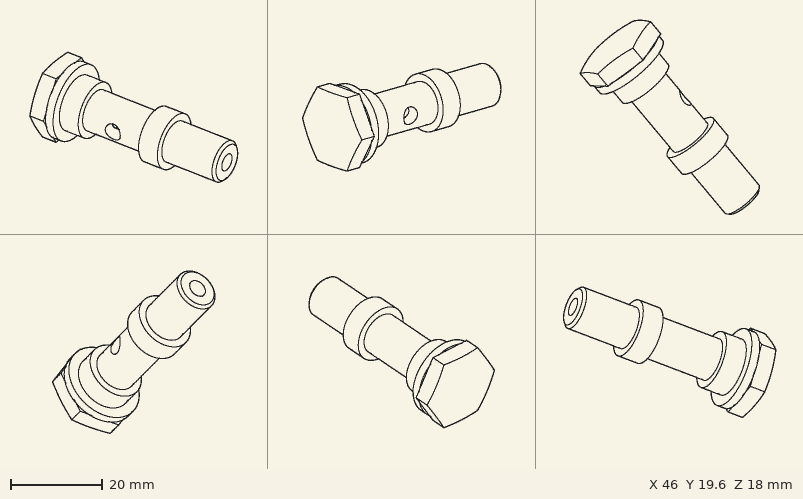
import cadquery as cq
import math

head_end = 4.0
flange_end = 6.0
head_collar_end = 11.0
ring_start = 27.0
ring_end = 32.0
length = 46.0

across_flats = 17.0
flange_dia = 18.0
collar_dia = 13.1
shaft_dia = 9.7

head_chamfer_angle = 15.0
tip_chamfer_length = 0.65
tip_chamfer_depth = 0.65

hole_dia = 4.0
hole_x = 19.0
bore_end = hole_x - hole_dia / 2


def cylinder(start, end, diameter):
    """Solid round section along X."""
    return cq.Workplane("YZ", origin=(start, 0, 0)).circle(diameter / 2).extrude(end - start)


def hex_head():
    """Hexagon with corners on Y, its outer corners trimmed by a shallow cone."""
    across_corners = across_flats / math.cos(math.radians(30))
    corner_radius = across_corners / 2
    face_radius = across_flats / 2
    chamfer_length = (corner_radius - face_radius) * math.tan(math.radians(head_chamfer_angle))
    prism = cq.Workplane("YZ").polygon(6, across_corners).extrude(head_end)
    envelope = (
        cq.Workplane("XY")
        .moveTo(0, 0)
        .lineTo(0, face_radius)
        .lineTo(chamfer_length, corner_radius)
        .lineTo(head_end, corner_radius)
        .lineTo(head_end, 0)
        .close()
        .revolve(360, (0, 0, 0), (1, 0, 0))
    )
    return prism.intersect(envelope)


def shaft():
    """Plain shaft with a chamfered free end."""
    radius = shaft_dia / 2
    return (
        cq.Workplane("XY")
        .moveTo(head_end, 0)
        .lineTo(head_end, radius)
        .lineTo(length - tip_chamfer_length, radius)
        .lineTo(length, radius - tip_chamfer_depth)
        .lineTo(length, 0)
        .close()
        .revolve(360, (0, 0, 0), (1, 0, 0))
    )


def cross_hole():
    """Cutter reaching from outside the shaft to its axis."""
    return (
        cq.Workplane("XZ", origin=(hole_x, 0, 0))
        .circle(hole_dia / 2)
        .extrude(shaft_dia)
    )


result = (
    hex_head()
    .union(shaft())
    .union(cylinder(head_end, flange_end, flange_dia))
    .union(cylinder(flange_end, head_collar_end, collar_dia))
    .union(cylinder(ring_start, ring_end, collar_dia))
    .cut(cross_hole())
    .cut(cylinder(bore_end, length, hole_dia))
)